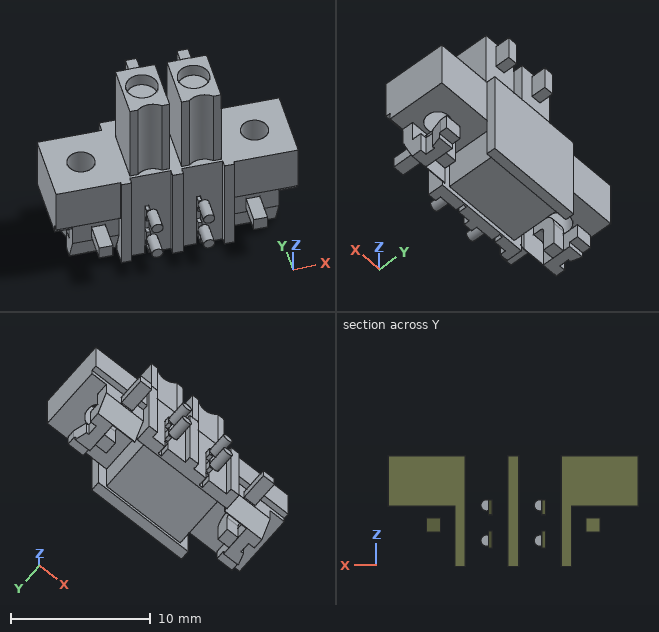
import cadquery as cq
import math


LENGTH = 17.92
BODY_TOP = 7.94
FLANGE_HALF_DEPTH = 2.72
FLANGE_BOTTOM = 3.71
FLANGE_HOLE_DIAMETER = 2.0
FLANGE_HOLE_X = 6.42
LIP_DEPTH = 0.43
LIP_BOTTOM = 4.32

CENTRE_WIDTH = 8.37
CENTRE_BACK = 3.5
PANEL_FRONT = -2.45
RIB_FRONT = -2.95
SIDE_RIB_WIDTH = 0.75
MIDDLE_RIB_WIDTH = 0.8
FRONT_WALL_BACK = -1.6
CORE_BOTTOM = 0.48

PITCH = 3.82
TOWER_WIDTH = 2.94
TOWER_FRONT = -2.24
TOWER_BACK = 1.92
TOWER_TOP = 14.5
TOWER_HOLE_DIAMETER = 2.33
TOWER_HOLE_DEPTH = 1.0
GROOVE_WIDTH = 1.77
GROOVE_DEPTH = 0.34
KEY_WIDTH = 0.85
KEY_BACK = 3.15
KEY_BOTTOM = 11.97
KEY_TOP = 14.17

FOOT_OUTER_X = 7.63
FOOT_WALL_FRONT = -FLANGE_HALF_DEPTH + LIP_DEPTH
FOOT_WALL_BACK = -1.33
FOOT_CHAMFER_HEIGHT = 2.19
FOOT_TOE_Y = -1.36
LEDGE_TOP = 1.83
LEDGE_BACK = 1.99
LEDGE_HEEL_Y = 1.24
SLOT_FRONT = -0.52
SLOT_BACK = 0.3
SLOT_DEPTH = 0.54
TAPER_START_Y = 1.38
TAPER_INSET = 0.32

PIN_TIP_Y = -4.46
HOLD_DOWN_X = 5.72
HOLD_DOWN_SIZE = 1.02
HOLD_DOWN_TOP = 3.5
HOLD_DOWN_BACK = 0.63
BEND_INNER_RADIUS = 0.29
BEND_OUTER_RADIUS = BEND_INNER_RADIUS + HOLD_DOWN_SIZE
LEDGE_INNER_X = HOLD_DOWN_X + HOLD_DOWN_SIZE / 2

PIN_DIAMETER = 0.82
PIN_START_Y = -2.89
PIN_HEIGHTS = (1.86, 4.39)
PLATE_THICKNESS = 0.29
PLATE_BACK = -1.74
PLATE_BOTTOM = 1.0
PLATE_TOP = 4.78
TAB_RANGES = ((1.33, 2.56), (3.71, PLATE_TOP))

CONTACT_XS = (-PITCH / 2, PITCH / 2)


def box(x_range, y_range, z_range):
    """Box between two limits along each axis."""
    (x0, x1), (y0, y1), (z0, z1) = x_range, y_range, z_range
    return cq.Workplane("XY").box(x1 - x0, y1 - y0, z1 - z0, centered=False).translate((x0, y0, z0))


def centred_box(x_centre, width, y_range, z_range):
    """Box centred on an X position."""
    return box((x_centre - width / 2, x_centre + width / 2), y_range, z_range)


def make_left_flange():
    """Flange beside the centre block, with a raised front lip and a screw hole."""
    profile = [
        (FLANGE_HALF_DEPTH, FLANGE_BOTTOM),
        (FLANGE_HALF_DEPTH, BODY_TOP),
        (-FLANGE_HALF_DEPTH, BODY_TOP),
        (-FLANGE_HALF_DEPTH, LIP_BOTTOM),
        (FOOT_WALL_FRONT, LIP_BOTTOM),
        (FOOT_WALL_FRONT, FLANGE_BOTTOM),
    ]
    flange = (
        cq.Workplane("YZ", origin=(-LENGTH / 2, 0, 0))
        .polyline(profile)
        .close()
        .extrude((LENGTH - CENTRE_WIDTH) / 2)
    )
    hole = (
        cq.Workplane("XY", origin=(-FLANGE_HOLE_X, 0, 0))
        .circle(FLANGE_HOLE_DIAMETER / 2)
        .extrude(BODY_TOP)
    )
    return flange.cut(hole)


def make_centre_block():
    """Centre block with three front ribs; below the flanges its sides and underside are hollowed."""
    full_height = (0, BODY_TOP)
    block = centred_box(0, CENTRE_WIDTH, (PANEL_FRONT, CENTRE_BACK), full_height)

    side_rib_x = (CENTRE_WIDTH - SIDE_RIB_WIDTH) / 2
    for x, width in ((-side_rib_x, SIDE_RIB_WIDTH), (0, MIDDLE_RIB_WIDTH), (side_rib_x, SIDE_RIB_WIDTH)):
        block = block.union(centred_box(x, width, (RIB_FRONT, PANEL_FRONT), full_height))

    hollow_y = (FRONT_WALL_BACK, FLANGE_HALF_DEPTH)
    block = block.cut(centred_box(0, CENTRE_WIDTH, hollow_y, (0, CORE_BOTTOM)))
    for side in (-1, 1):
        recess = centred_box(side * side_rib_x, SIDE_RIB_WIDTH, hollow_y, (0, FLANGE_BOTTOM))
        block = block.cut(recess)
    return block


def make_tower(x):
    """Tower with a blind top hole, a shallow round groove down the front and a key on the back."""
    tower = centred_box(x, TOWER_WIDTH, (TOWER_FRONT, TOWER_BACK), (BODY_TOP, TOWER_TOP))
    hole = (
        cq.Workplane("XY", origin=(x, 0, TOWER_TOP - TOWER_HOLE_DEPTH))
        .circle(TOWER_HOLE_DIAMETER / 2)
        .extrude(TOWER_HOLE_DEPTH)
    )
    groove = (
        cq.Workplane("XY", origin=(x, TOWER_FRONT, BODY_TOP))
        .moveTo(-GROOVE_WIDTH / 2, 0)
        .threePointArc((0, GROOVE_DEPTH), (GROOVE_WIDTH / 2, 0))
        .close()
        .extrude(TOWER_TOP - BODY_TOP)
    )
    key = centred_box(x, KEY_WIDTH, (TOWER_BACK, KEY_BACK), (KEY_BOTTOM, KEY_TOP))
    return tower.cut(hole).cut(groove).union(key)


def make_left_foot():
    """Foot under the left flange: a front wall with a sloping toe and a ledge running back from it."""
    wall_profile = [
        (FOOT_WALL_BACK, 0),
        (FOOT_WALL_BACK, FLANGE_BOTTOM),
        (FOOT_WALL_FRONT, FLANGE_BOTTOM),
        (FOOT_WALL_FRONT, FOOT_CHAMFER_HEIGHT),
        (FOOT_TOE_Y, 0),
    ]
    wall = (
        cq.Workplane("YZ", origin=(-FOOT_OUTER_X, 0, 0))
        .polyline(wall_profile)
        .close()
        .extrude(FOOT_OUTER_X - CENTRE_WIDTH / 2)
    )
    slot_floor_x = -FOOT_OUTER_X + SLOT_DEPTH
    ledge_outline = [
        (-LEDGE_INNER_X, FOOT_WALL_BACK),
        (-FOOT_OUTER_X, FOOT_WALL_BACK),
        (-FOOT_OUTER_X, SLOT_FRONT),
        (slot_floor_x, SLOT_FRONT),
        (slot_floor_x, SLOT_BACK),
        (-FOOT_OUTER_X + TAPER_INSET, SLOT_BACK),
        (-FOOT_OUTER_X, TAPER_START_Y),
        (-FOOT_OUTER_X, LEDGE_BACK),
        (-LEDGE_INNER_X, LEDGE_BACK),
    ]
    ledge = cq.Workplane("XY").polyline(ledge_outline).close().extrude(LEDGE_TOP)
    heel_gap = box((-FOOT_OUTER_X, -LEDGE_INNER_X), (LEDGE_HEEL_Y, LEDGE_BACK), (0, CORE_BOTTOM))
    return wall.union(ledge.cut(heel_gap))


def make_hold_down(x):
    """Square bar that runs back through the foot wall and bends down to the underside."""
    bar_bottom = HOLD_DOWN_TOP - HOLD_DOWN_SIZE
    leg_front = HOLD_DOWN_BACK - HOLD_DOWN_SIZE
    bend_y = HOLD_DOWN_BACK - BEND_OUTER_RADIUS
    bend_z = HOLD_DOWN_TOP - BEND_OUTER_RADIUS
    diagonal = math.sqrt(0.5)
    outer_middle = (bend_y + BEND_OUTER_RADIUS * diagonal, bend_z + BEND_OUTER_RADIUS * diagonal)
    inner_middle = (bend_y + BEND_INNER_RADIUS * diagonal, bend_z + BEND_INNER_RADIUS * diagonal)
    return (
        cq.Workplane("YZ", origin=(x, 0, 0))
        .moveTo(PIN_TIP_Y, HOLD_DOWN_TOP)
        .lineTo(bend_y, HOLD_DOWN_TOP)
        .threePointArc(outer_middle, (HOLD_DOWN_BACK, bend_z))
        .lineTo(HOLD_DOWN_BACK, 0)
        .lineTo(leg_front, 0)
        .lineTo(leg_front, bend_z)
        .threePointArc(inner_middle, (bend_y, bar_bottom))
        .lineTo(PIN_TIP_Y, bar_bottom)
        .close()
        .extrude(HOLD_DOWN_SIZE / 2, both=True)
    )


def plate_x_range(x):
    """X limits of a contact plate, whose left face is tangent to the pins."""
    left = x - PIN_DIAMETER / 2
    return left, left + PLATE_THICKNESS


def make_contact(x):
    """Upright plate with two front tabs, each carrying a round pin."""
    plate_x = plate_x_range(x)
    contact = box(plate_x, (PANEL_FRONT, PLATE_BACK), (PLATE_BOTTOM, PLATE_TOP))
    for tab_z in TAB_RANGES:
        contact = contact.union(box(plate_x, (PIN_START_Y, PANEL_FRONT), tab_z))
    for pin_z in PIN_HEIGHTS:
        pin = (
            cq.Workplane("XZ", origin=(x, PIN_START_Y, pin_z))
            .circle(PIN_DIAMETER / 2)
            .extrude(PIN_START_Y - PIN_TIP_Y)
        )
        contact = contact.union(pin)
    return contact


def make_contact_slot(x):
    """Blind slot in the front wall, open at the underside, that takes a contact plate."""
    return box(plate_x_range(x), (PANEL_FRONT, PLATE_BACK), (0, PLATE_TOP))


def make_housing(hold_downs):
    """Moulded housing, with slots for the contacts and holes that match the hold-downs."""
    left_end = make_left_flange().union(make_left_foot())
    housing = make_centre_block().union(left_end).union(left_end.mirror("YZ"))
    for x in CONTACT_XS:
        housing = housing.union(make_tower(x)).cut(make_contact_slot(x))
    for hold_down in hold_downs:
        housing = housing.cut(hold_down)
    return housing


contacts = [make_contact(x) for x in CONTACT_XS]
hold_downs = [make_hold_down(x) for x in (-HOLD_DOWN_X, HOLD_DOWN_X)]
housing = make_housing(hold_downs)

result = cq.Compound.makeCompound([
    housing.solids().val(),
    *[contact.solids().val() for contact in contacts],
    *[hold_down.solids().val() for hold_down in hold_downs],
])